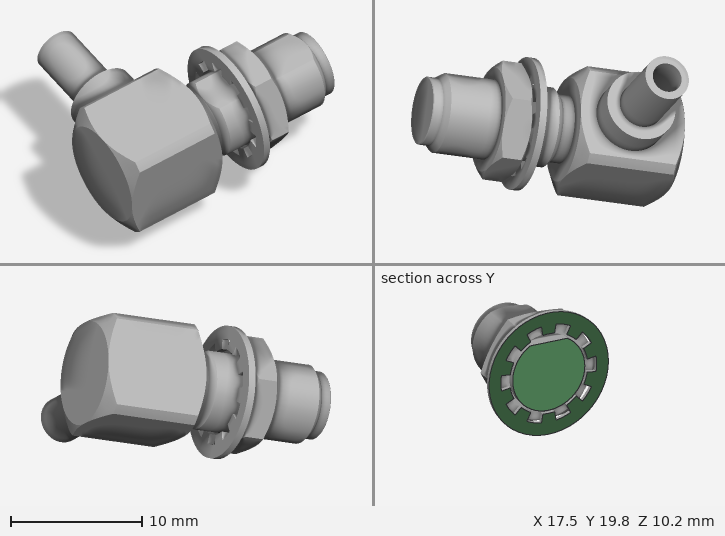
import cadquery as cq
import math

TOTAL_LENGTH = 19.8
REAR_Y = -4.4
FRONT_Y = REAR_Y + TOTAL_LENGTH

ACROSS_FLATS = 8.0
CORNER_DIAMETER = 10.5
ELBOW_LENGTH = 8.4
END_CHAMFER_ANGLE = 30.0

BOSS_DIAMETER = 5.5
BOSS_LENGTH = 2.51
TUBE_DIAMETER = 3.5
TUBE_LENGTH = 5.9
BORE_DIAMETER = 2.32

BARREL_RADIUS = 3.09
NECK_RADIUS = 2.61
BARREL_FLAT_HEIGHT = 2.65
FRONT_NECK_LENGTH = 0.8
REAR_NECK_LENGTH = 0.91
TIP_CHAMFER = 0.05

NUT_FRONT_SETBACK = 5.33
NUT_THICKNESS = 2.22

WASHER_DIAMETER = 10.2
WASHER_THICKNESS = 0.55
WASHER_GAP = 0.22
WASHER_HOLE_RADIUS = 3.3
SLOT_COUNT = 10
SLOT_ANGLE = 18.0
SLOT_RADIUS = 4.05

elbow_front_y = REAR_Y + ELBOW_LENGTH
nut_rear_y = FRONT_Y - NUT_FRONT_SETBACK - NUT_THICKNESS
washer_rear_y = nut_rear_y - WASHER_GAP - WASHER_THICKNESS


def plane_at(y):
    """Plane across the barrel axis, facing +Y, with its local x along X and local y along -Z."""
    return cq.Plane(origin=(0, y, 0), xDir=(1, 0, 0), normal=(0, 1, 0))


def chamfered_round(y, length):
    """Round bar along the barrel axis, coned at both ends down to the across-flats circle."""
    bar_radius = CORNER_DIAMETER / 2
    face_radius = ACROSS_FLATS / 2
    rise = (bar_radius - face_radius) * math.tan(math.radians(END_CHAMFER_ANGLE))
    profile = (
        cq.Workplane("XY")
        .moveTo(0, y)
        .lineTo(face_radius, y)
        .lineTo(bar_radius, y + rise)
        .lineTo(bar_radius, y + length - rise)
        .lineTo(face_radius, y + length)
        .lineTo(0, y + length)
        .close()
    )
    return profile.revolve(360, (0, 0, 0), (0, 1, 0))


def make_elbow_block():
    bar = cq.Workplane(plane_at(REAR_Y)).rect(ACROSS_FLATS, ACROSS_FLATS).extrude(ELBOW_LENGTH)
    return bar.intersect(chamfered_round(REAR_Y, ELBOW_LENGTH))


def make_barrel():
    shoulder = BARREL_RADIUS - NECK_RADIUS
    rear_cone_y = elbow_front_y + REAR_NECK_LENGTH
    front_cone_y = FRONT_Y - FRONT_NECK_LENGTH
    profile = (
        cq.Workplane("XY")
        .moveTo(0, elbow_front_y)
        .lineTo(NECK_RADIUS, elbow_front_y)
        .lineTo(NECK_RADIUS, rear_cone_y)
        .lineTo(BARREL_RADIUS, rear_cone_y + shoulder)
        .lineTo(BARREL_RADIUS, front_cone_y - shoulder)
        .lineTo(NECK_RADIUS, front_cone_y)
        .lineTo(NECK_RADIUS, FRONT_Y - TIP_CHAMFER)
        .lineTo(NECK_RADIUS - TIP_CHAMFER, FRONT_Y)
        .lineTo(0, FRONT_Y)
        .close()
    )
    barrel = profile.revolve(360, (0, 0, 0), (0, 1, 0))
    above_flat = (
        cq.Workplane("XY", origin=(0, elbow_front_y, BARREL_FLAT_HEIGHT))
        .rect(2 * BARREL_RADIUS, 2 * TOTAL_LENGTH)
        .extrude(BARREL_RADIUS)
    )
    return barrel.cut(above_flat)


def make_connector():
    """Elbow block, barrel and bored cable tube as one solid."""
    elbow_side = cq.Workplane(cq.Plane(origin=(-ACROSS_FLATS / 2, 0, 0), xDir=(0, 1, 0), normal=(-1, 0, 0)))
    boss = elbow_side.circle(BOSS_DIAMETER / 2).extrude(BOSS_LENGTH)
    tube = elbow_side.circle(TUBE_DIAMETER / 2).extrude(BOSS_LENGTH + TUBE_LENGTH)
    bore = elbow_side.circle(BORE_DIAMETER / 2).extrude(BOSS_LENGTH + TUBE_LENGTH)
    return make_elbow_block().union(make_barrel()).union(boss).union(tube).cut(bore)


def make_nut():
    across_corners = ACROSS_FLATS / math.cos(math.radians(30))
    hexagon = cq.Workplane(plane_at(nut_rear_y)).polygon(6, across_corners).extrude(NUT_THICKNESS)
    hole = cq.Workplane(plane_at(nut_rear_y)).circle(BARREL_RADIUS).extrude(NUT_THICKNESS)
    return hexagon.intersect(chamfered_round(nut_rear_y, NUT_THICKNESS)).cut(hole)


def slot_point(radius, angle):
    """Point on the washer face at the given radius and angle in degrees."""
    return (radius * math.cos(math.radians(angle)), radius * math.sin(math.radians(angle)))


def make_slot(middle_angle):
    """Wedge from the washer axis out to a round slot floor."""
    half_angle = SLOT_ANGLE / 2
    return (
        cq.Workplane(plane_at(washer_rear_y))
        .moveTo(0, 0)
        .lineTo(*slot_point(SLOT_RADIUS, middle_angle - half_angle))
        .threePointArc(
            slot_point(SLOT_RADIUS, middle_angle),
            slot_point(SLOT_RADIUS, middle_angle + half_angle),
        )
        .close()
        .extrude(WASHER_THICKNESS)
    )


def make_washer():
    """Flat ring whose slots leave teeth pointing in at the barrel."""
    washer = (
        cq.Workplane(plane_at(washer_rear_y))
        .circle(WASHER_DIAMETER / 2)
        .circle(WASHER_HOLE_RADIUS)
        .extrude(WASHER_THICKNESS)
    )
    for index in range(SLOT_COUNT):
        washer = washer.cut(make_slot(index * 360 / SLOT_COUNT))
    return washer


connector = make_connector()
nut = make_nut()
washer = make_washer()

result = cq.Compound.makeCompound([connector.val(), nut.val(), washer.val()])